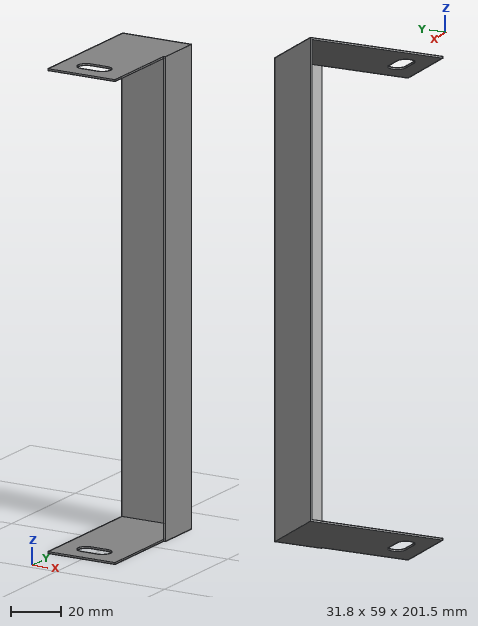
import cadquery as cq

height = 201.5
depth = 59.0
sheet = 0.8
plate_width = 31.0
side_depth = 20.8

slot_length = 15.0
slot_width = 7.5
slot_from_front = 10.9
slot_from_left = 15.1


def sheet_box(size_x, size_y, size_z, x=0, y=0, z=0):
    """Box with its minimum corner at the given position."""
    return cq.Workplane("XY").box(size_x, size_y, size_z, centered=False).translate((x, y, z))


back = sheet_box(plate_width, sheet, height, y=depth - sheet)
side = sheet_box(sheet, side_depth, height, x=plate_width, y=depth - side_depth)
result = back.union(side)

for plate_z in (0, height - sheet):
    result = result.union(sheet_box(plate_width, depth, sheet, z=plate_z))

slots = (
    cq.Workplane("XY")
    .center(slot_from_left, slot_from_front)
    .slot2D(slot_length, slot_width)
    .extrude(height)
)
result = result.cut(slots)